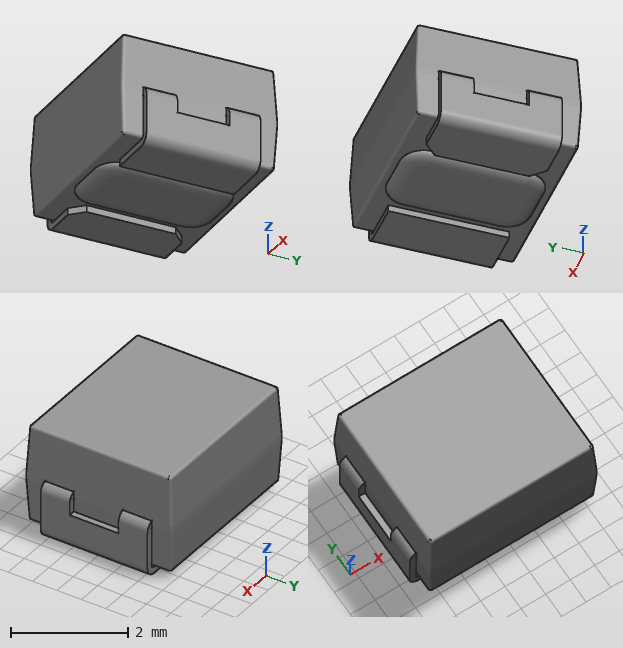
import cadquery as cq
import math

overall_length = 3.7
body_width = 3.0
overall_height = 2.1

lead_thickness = 0.13
lead_width = 2.19
lead_bend_radius = 0.2
lead_top = 1.13
lead_embed_depth = 0.4
foot_length = 1.0
notch_width = 1.0
notch_floor = 0.71
polarity_chamfer = 0.24

body_length = overall_length - 2 * lead_thickness
body_bottom = 0.16
band_top = lead_top
band_bottom = lead_top - lead_thickness
draft_angle = 3.0
body_edge_radius = 0.05

pad_length = 1.5
pad_width = 2.61
pad_bottom = 0.03
pad_corner_radius = 0.43
pad_rim_run = 0.26


def make_pad():
    """Rounded rectangular pad with a quarter-ellipse rim around a flat bottom."""
    height = body_bottom - pad_bottom
    overlap = body_edge_radius
    flat_corner_radius = pad_corner_radius - pad_rim_run
    core = (
        cq.Workplane("XY", origin=(0, 0, pad_bottom))
        .rect(pad_length - 2 * pad_rim_run, pad_width - 2 * pad_rim_run)
        .extrude(height + overlap)
        .edges("|Z")
        .fillet(flat_corner_radius)
    )
    path = core.faces("<Z").wires().val()
    rim_inside = pad_length / 2 - pad_rim_run
    rim_profile = (
        cq.Workplane("XZ")
        .moveTo(rim_inside, pad_bottom)
        .ellipseArc(pad_rim_run, height, -90, 0, startAtCurrent=True)
        .lineTo(pad_length / 2, body_bottom + overlap)
        .lineTo(rim_inside, body_bottom + overlap)
        .close()
    )
    rim = rim_profile.sweep(cq.Workplane(path), transition="right")
    return core.union(rim)


def make_body_half(start_height, end_height):
    """Drafted half of the body, growing from the band edge to the top or bottom face."""
    height = end_height - start_height
    inset = 2 * abs(height) * math.tan(math.radians(draft_angle))
    return (
        cq.Workplane("XY", origin=(0, 0, start_height))
        .rect(body_length, body_width)
        .workplane(offset=height)
        .rect(body_length - inset, body_width - inset)
        .loft(ruled=True)
    )


def make_body(leads):
    """Molded body with its pad, recessed where the leads enter it."""
    band = (
        cq.Workplane("XY", origin=(0, 0, band_bottom))
        .rect(body_length, body_width)
        .extrude(band_top - band_bottom)
    )
    body = (
        band.union(make_body_half(band_top, overall_height))
        .union(make_body_half(band_bottom, body_bottom))
    )
    body = body.edges("not(|X or |Y)").fillet(body_edge_radius)
    body = body.faces("<Z or >Z").edges().fillet(body_edge_radius)
    body = body.union(make_pad())
    for lead in leads:
        body = body.cut(lead)
    return body


def make_lead():
    """Left lead: enters the body, bends down its end and folds under it as a foot."""
    outer_end = -overall_length / 2
    inner_face = outer_end + lead_thickness
    bend_center_x = outer_end + lead_bend_radius
    inner_bend_radius = lead_bend_radius - lead_thickness
    embedded_end = inner_face + lead_embed_depth
    foot_end = outer_end + foot_length
    arc_reach = math.sqrt(0.5)
    outer_mid = lead_bend_radius * arc_reach
    inner_mid = inner_bend_radius * arc_reach
    upper_center_z = lead_top - lead_bend_radius
    lower_center_z = lead_bend_radius

    lead = (
        cq.Workplane("XZ")
        .moveTo(embedded_end, lead_top)
        .lineTo(bend_center_x, lead_top)
        .threePointArc(
            (bend_center_x - outer_mid, upper_center_z + outer_mid), (outer_end, upper_center_z))
        .lineTo(outer_end, lower_center_z)
        .threePointArc(
            (bend_center_x - outer_mid, lower_center_z - outer_mid), (bend_center_x, 0))
        .lineTo(foot_end, 0)
        .lineTo(foot_end, lead_thickness)
        .lineTo(bend_center_x, lead_thickness)
        .threePointArc(
            (bend_center_x - inner_mid, lower_center_z - inner_mid), (inner_face, lower_center_z))
        .lineTo(inner_face, upper_center_z)
        .threePointArc(
            (bend_center_x - inner_mid, upper_center_z + inner_mid), (bend_center_x, band_bottom))
        .lineTo(embedded_end, band_bottom)
        .close()
        .extrude(lead_width / 2, both=True)
    )
    notch_depth = embedded_end - outer_end
    notch = cq.Workplane("XY").box(
        notch_depth, notch_width, lead_top - notch_floor, centered=(False, True, False)
    ).translate((outer_end, 0, notch_floor))
    return lead.cut(notch)


def add_polarity_chamfers(lead):
    """Cut the two corners off the end of the foot."""
    foot_end = -overall_length / 2 + foot_length
    for side in (-1, 1):
        edge_y = side * lead_width / 2
        corner = (
            cq.Workplane("XY")
            .moveTo(foot_end, edge_y)
            .lineTo(foot_end - polarity_chamfer, edge_y)
            .lineTo(foot_end, edge_y - side * polarity_chamfer)
            .close()
            .extrude(lead_thickness)
        )
        lead = lead.cut(corner)
    return lead


plain_lead = make_lead()
marked_lead = add_polarity_chamfers(plain_lead)
opposite_lead = plain_lead.mirror("YZ")
body = make_body([marked_lead, opposite_lead])

result = cq.Compound.makeCompound([body.val(), marked_lead.val(), opposite_lead.val()])